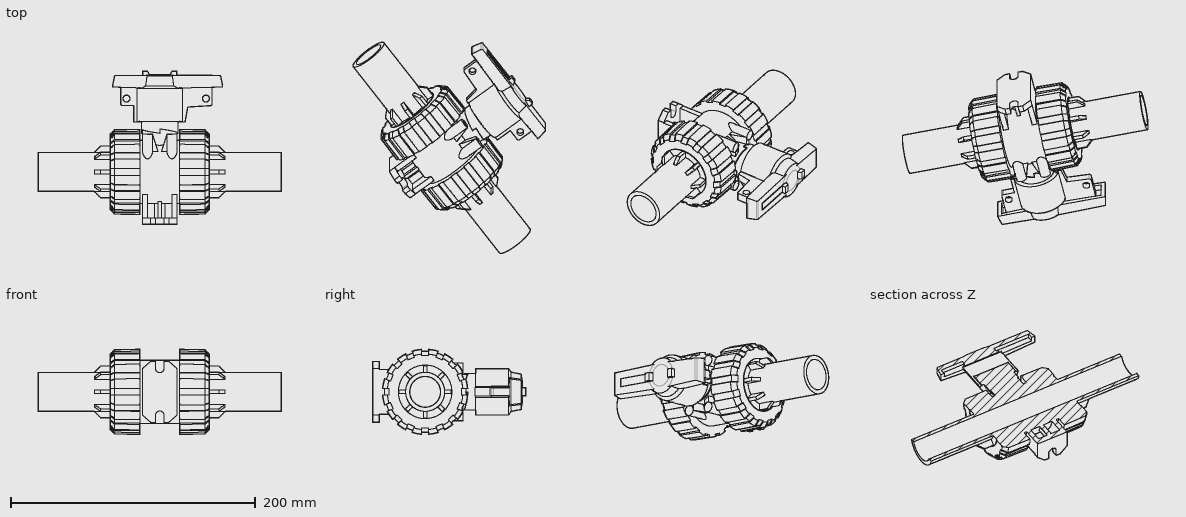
import cadquery as cq
import math

total_length = 199.0
pipe_radius = 16.0
bore_radius = 12.5

body_radius = 26.0

nut_inner_x = 16.3
nut_outer_x = 40.6
nut_radius = 35.0
nut_draft = 0.35
nut_chamfer = 3.7
nut_opening_radius = 21.9
nut_opening_depth = 0.5
grip_slot_count = 16
grip_slot_width = 5.6
grip_slot_depth = 1.4

rib_count = 8
rib_thickness = 3.0
rib_radius = 21.3
rib_shoulder_x = 48.3
rib_slope_length = 5.2

foot_bottom_y = -43.0
foot_thickness = 5.5
foot_half_width = 14.2
foot_half_height = 25.0
foot_corner_x = 6.8
foot_corner_z = 6.1
foot_slot_width = 7.0
foot_slot_depth = 9.3
cheek_thickness = 4.3
cheek_half_height = 18.4
foot_web_thickness = 2.7
foot_rib_half_height = 10.0
foot_boss_radius = 4.5

neck_radius = 14.2
collar_radius = 15.0
collar_tooth_tip_y = 31.6
collar_tooth_root_y = 35.2
collar_tooth_angle = 90
collar_tooth_steps = 6
post_radius = 4.2
post_x = 10.0
post_z = 19.5
post_top_y = 31.0
gusset_inner_x = 1.4
gusset_outer_x = 5.8
gusset_bottom_y = 16.5
gusset_top_y = 30.5
gusset_half_height = 20.0

hub_radius = 19.0
hub_bottom_y = 41.3
hub_top_y = 68.2
shoulder_top_y = 70.4
cap_base_radius = 16.2
cap_rim_radius = 14.6
cap_rim_y = 78.6
cap_top_radius = 9.0
cap_top_y = 79.5
hub_slot_half_height = 4.5
hub_slot_skin_x = 16.5

bar_top_y = 78.9
bar_end_bottom_y = 69.4
bar_middle_bottom_y = 68.3
bar_lip_height = 1.4
bar_left_x = -38.6
bar_right_x = 51.4
bar_end_slope = 1.6
bar_end_top_half_height = 9.3
bar_end_bottom_half_height = 10.7
bar_middle_top_half_height = 10.6
bar_middle_bottom_half_height = 12.0
bar_wall = 3.3
bar_recess_top_y = 74.0
bar_corner_radius = 1.2

plate_half_thickness = 3.35
ear_left_x = -32.1
ear_right_x = 42.9
ear_bottom_y = 54.2
ear_corner_radius = 1.6
ear_hole_radius = 2.75
ear_hole_y = 60.0
ear_hole_left_x = -27.2
ear_hole_right_x = 37.8
ear_right_drop = 1.2
skirt_bottom_y = 40.8
skirt_left_x = -21.3
skirt_right_top_x = 23.0
skirt_right_bottom_x = 20.8
plate_top_y = 79.4
tab_top_y = 82.43
tab_outer_x = 14.1
tab_tip_inner_x = 10.0
tab_root_inner_x = 8.3


def slab(points, z_low, z_high):
    """Closed XY outline extruded between two Z levels."""
    return cq.Workplane("XY").workplane(offset=z_low).polyline(points).close().extrude(z_high - z_low)


def block(x_range, y_range, z_range):
    """Axis-aligned block from its limits along X, Y and Z."""
    (x0, x1), (y0, y1), (z0, z1) = x_range, y_range, z_range
    return cq.Workplane("XY").box(x1 - x0, y1 - y0, z1 - z0, centered=False).translate((x0, y0, z0))


def y_cylinder(radius, y_low, y_high, x=0.0, z=0.0):
    """Cylinder with its axis along Y."""
    circle = cq.Workplane("XZ").center(x, z).circle(radius)
    return circle.extrude(y_low - y_high).translate((0, y_low, 0))


def x_cylinder(radius, x_low, x_high):
    """Cylinder about the pipe axis."""
    return cq.Workplane("YZ").workplane(offset=x_low).circle(radius).extrude(x_high - x_low)


def nut():
    """Union nut on the +X side: drafted, chamfered and slotted round its rim."""
    chamfer_x = nut_outer_x - nut_chamfer
    rim_radius = nut_radius - nut_draft
    ring = (
        cq.Workplane("XY")
        .polyline([
            (nut_inner_x, 0),
            (nut_inner_x, nut_radius),
            (chamfer_x, rim_radius),
            (nut_outer_x, rim_radius - nut_chamfer),
            (nut_outer_x, 0),
        ])
        .close()
        .revolve(360, (0, 0, 0), (1, 0, 0))
    )
    floor = rim_radius - grip_slot_depth
    clear = nut_radius + grip_slot_depth
    slot = slab(
        [
            (nut_inner_x, floor),
            (chamfer_x, floor),
            (nut_outer_x, floor - nut_chamfer),
            (nut_outer_x, clear),
            (nut_inner_x, clear),
        ],
        -grip_slot_width / 2,
        grip_slot_width / 2,
    )
    for i in range(grip_slot_count):
        ring = ring.cut(slot.rotate((0, 0, 0), (1, 0, 0), i * 360 / grip_slot_count))
    return ring.cut(x_cylinder(nut_opening_radius, nut_outer_x - nut_opening_depth, nut_outer_x))


def socket_ribs():
    """Ramped ribs round the +X pipe, running out of the nut opening."""
    start_x = nut_outer_x - nut_opening_depth
    root_radius = (bore_radius + pipe_radius) / 2
    rib = slab(
        [
            (start_x, root_radius),
            (start_x, rib_radius),
            (rib_shoulder_x, rib_radius),
            (rib_shoulder_x + rib_slope_length, pipe_radius),
            (rib_shoulder_x + rib_slope_length, root_radius),
        ],
        -rib_thickness / 2,
        rib_thickness / 2,
    )
    ribs = rib
    for i in range(1, rib_count):
        ribs = ribs.union(rib.rotate((0, 0, 0), (1, 0, 0), i * 360 / rib_count))
    return ribs


def pipe_run():
    """Body, pipes, nuts and ribs, still without the bore."""
    half = nut().union(socket_ribs())
    run = x_cylinder(pipe_radius, -total_length / 2, total_length / 2)
    run = run.union(x_cylinder(body_radius, -nut_inner_x, nut_inner_x))
    return run.union(half).union(half.mirror("YZ"))


def foot():
    """Mounting plate with two open slots, joined to the body by cheeks and webs."""
    plate_top_y = foot_bottom_y + foot_thickness
    x, z = foot_half_width, foot_half_height
    plate = block((-x, x), (foot_bottom_y, plate_top_y), (-z, z))
    corner = (
        cq.Workplane("XZ")
        .polyline([(x, z), (x - foot_corner_x, z), (x, z - foot_corner_z)])
        .close()
        .extrude(-foot_thickness)
        .translate((0, foot_bottom_y, 0))
    )
    slot_radius = foot_slot_width / 2
    slot_center_z = z - foot_slot_depth + slot_radius
    slot = y_cylinder(slot_radius, foot_bottom_y, plate_top_y, z=slot_center_z).union(
        block((-slot_radius, slot_radius), (foot_bottom_y, plate_top_y), (slot_center_z, z))
    )
    top_cuts = corner.union(corner.mirror("YZ")).union(slot)
    plate = plate.cut(top_cuts).cut(top_cuts.mirror("XY"))

    reach = (plate_top_y, 0)
    half_web = foot_web_thickness / 2
    cheek = block((x - cheek_thickness, x), reach, (-cheek_half_height, cheek_half_height))
    floor_web = block((-x, x), reach, (-half_web, half_web))
    center_rib = block((-half_web, half_web), reach, (-foot_rib_half_height, foot_rib_half_height))
    boss = y_cylinder(foot_boss_radius, *reach)
    joined = plate
    for piece in (cheek, cheek.mirror("YZ"), floor_web, center_rib, boss):
        joined = joined.union(piece)
    return joined


def collar_tooth(start_angle):
    """XY points along one ramp that drops over a quarter turn of the collar."""
    steps = collar_tooth_steps
    points = []
    for i in range(steps + 1):
        angle = math.radians(start_angle - collar_tooth_angle * i / steps)
        y = collar_tooth_root_y + (collar_tooth_tip_y - collar_tooth_root_y) * i / steps
        points.append((collar_radius * math.cos(angle), y))
    return points


def neck():
    """Stem neck with a collar whose lower rim carries four ramped teeth."""
    stem = y_cylinder(neck_radius, 0, hub_bottom_y)
    collar = y_cylinder(collar_radius, collar_tooth_tip_y, hub_bottom_y)
    left_ramp = collar_tooth(180)
    right_ramp = collar_tooth(180 - collar_tooth_angle)
    toothed = (
        cq.Workplane("XY")
        .moveTo(-collar_radius, hub_bottom_y)
        .lineTo(*left_ramp[0])
        .spline(left_ramp[1:], includeCurrent=True)
        .lineTo(*right_ramp[0])
        .spline(right_ramp[1:], includeCurrent=True)
        .lineTo(collar_radius, hub_bottom_y)
        .close()
        .extrude(collar_radius)
    )
    half_collar = collar.intersect(toothed)
    return stem.union(half_collar).union(half_collar.rotate((0, 0, 0), (0, 1, 0), 180))


def posts():
    """Four stop posts on the body with a triangular gusset beside each."""
    post = y_cylinder(post_radius, 0, post_top_y, post_x, post_z)
    gusset = slab(
        [
            (gusset_inner_x, gusset_bottom_y),
            (gusset_outer_x, gusset_top_y),
            (post_x, gusset_top_y),
            (post_x, gusset_bottom_y),
        ],
        0,
        gusset_half_height,
    )
    pair = post.union(gusset)
    pair = pair.union(pair.mirror("YZ"))
    return pair.union(pair.mirror("XY"))


def hub():
    """Round hub with sloped shoulder and tapered cap, slotted for the plate."""
    turned = (
        cq.Workplane("XY")
        .polyline([
            (0, hub_bottom_y),
            (hub_radius, hub_bottom_y),
            (hub_radius, hub_top_y),
            (cap_base_radius, shoulder_top_y),
            (cap_rim_radius, cap_rim_y),
            (cap_top_radius, cap_top_y),
            (0, cap_top_y),
        ])
        .close()
        .revolve(360, (0, 0, 0), (0, 1, 0))
    )
    slot_z = (-hub_slot_half_height, hub_slot_half_height)
    through = block((-hub_radius, hub_radius), (ear_bottom_y, bar_middle_bottom_y), slot_z)
    side = block((hub_slot_skin_x, hub_radius), (hub_bottom_y, ear_bottom_y), slot_z)
    return turned.cut(through).cut(side).cut(side.mirror("YZ"))


def bar_half(end_x):
    """Half of the bar from its thick middle to one end, with sloped sides."""
    height = bar_top_y - bar_middle_bottom_y

    def section(workplane, top_half, bottom_half):
        return workplane.polyline([
            (0, top_half),
            (0, -top_half),
            (-height, -bottom_half),
            (-height, bottom_half),
        ]).close()

    plane = cq.Plane(origin=(0, bar_top_y, 0), xDir=(0, 1, 0), normal=(1, 0, 0))
    middle = section(cq.Workplane(plane), bar_middle_top_half_height, bar_middle_bottom_half_height)
    end = section(
        middle.workplane(offset=end_x), bar_end_top_half_height, bar_end_bottom_half_height
    )
    return end.loft(ruled=True, combine=True)


def bar():
    """Handle bar, thickest at the hub, with sloped ends and an open underside."""
    lip_top_y = bar_end_bottom_y + bar_lip_height
    outline = slab(
        [
            (bar_left_x + bar_end_slope, bar_top_y),
            (bar_left_x, lip_top_y),
            (bar_left_x, bar_end_bottom_y),
            (0, bar_middle_bottom_y),
            (bar_right_x, bar_end_bottom_y),
            (bar_right_x, lip_top_y),
            (bar_right_x - bar_end_slope, bar_top_y),
        ],
        -bar_middle_bottom_half_height,
        bar_middle_bottom_half_height,
    )
    outline = outline.edges("|Z and >Y").fillet(bar_corner_radius)
    outer = bar_half(bar_left_x).union(bar_half(bar_right_x)).intersect(outline)
    inner_half_height = bar_end_bottom_half_height - bar_wall
    recess = block(
        (bar_left_x + bar_wall, bar_right_x - bar_wall),
        (bar_middle_bottom_y, bar_recess_top_y),
        (-inner_half_height, inner_half_height),
    )
    return outer.cut(recess)


def locking_plate():
    """Flat plate through the handle: drilled ears, a skirt along the hub and top tabs."""
    z_range = (-plate_half_thickness, plate_half_thickness)
    ears = slab(
        [
            (ear_left_x, bar_top_y),
            (ear_left_x, ear_bottom_y),
            (skirt_left_x, ear_bottom_y),
            (skirt_left_x, skirt_bottom_y),
            (skirt_right_bottom_x, skirt_bottom_y),
            (skirt_right_top_x, ear_bottom_y - ear_right_drop),
            (ear_right_x, ear_bottom_y),
            (ear_right_x, bar_top_y),
        ],
        *z_range,
    )
    for corner_x in (ear_left_x, ear_right_x):
        corner = cq.selectors.NearestToPointSelector((corner_x, ear_bottom_y, 0))
        ears = ears.edges("|Z").edges(corner).fillet(ear_corner_radius)
    for hole_x in (ear_hole_left_x, ear_hole_right_x):
        hole = cq.Workplane("XY").center(hole_x, ear_hole_y).circle(ear_hole_radius)
        ears = ears.cut(hole.extrude(plate_half_thickness, both=True))
    ridge = block((tab_outer_x, ear_right_x), (bar_top_y, plate_top_y), z_range)
    tab = slab(
        [
            (tab_outer_x, bar_end_bottom_y),
            (tab_outer_x, tab_top_y),
            (tab_tip_inner_x, tab_top_y),
            (tab_root_inner_x, plate_top_y),
            (tab_root_inner_x, bar_end_bottom_y),
        ],
        *z_range,
    )
    return ears.union(ridge).union(tab).union(tab.mirror("YZ"))


handle = hub().union(bar()).union(locking_plate())
bore = x_cylinder(bore_radius, -total_length / 2, total_length / 2)
result = pipe_run().union(foot()).union(neck()).union(posts()).union(handle).cut(bore)